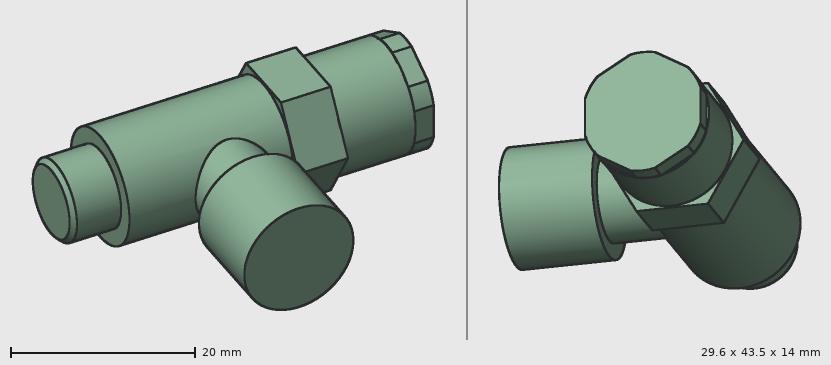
import cadquery as cq
import math

total_length = 43.5

body_diameter = 13.6
hex_across_flats = 14.0
hex_length = 6.1
hex_to_back_end = 11.35

cap_diameter = 13.75
cap_across_flats = 13.05
cap_length = 2.4

tip_diameter = 9.75
tip_end_diameter = 8.55
tip_length = 6.0
tip_chamfer = (tip_diameter - tip_end_diameter) / 2

branch_diameter = 9.8
branch_to_back_end = 24.5
branch_end_x = 21.5
socket_diameter = 13.4
socket_length = 10.53

body_front_y = tip_length
cap_front_y = total_length - cap_length
hex_front_y = total_length - hex_to_back_end - hex_length
branch_y = total_length - branch_to_back_end


def axial_plane(y):
    """Plane across the main axis at y, facing +Y, with local x along -X."""
    return cq.Workplane(cq.Plane(origin=(0, y, 0), xDir=(-1, 0, 0), normal=(0, 1, 0)))


def axial_cylinder(diameter, y, length):
    return axial_plane(y).circle(diameter / 2).extrude(length)


def axial_hexagon(across_flats, y, length, turn=0):
    """Hexagonal prism with corners on the X axis before turning about Y."""
    across_corners = across_flats / math.cos(math.radians(30))
    prism = axial_plane(y).polygon(6, across_corners).extrude(length)
    return prism.rotate((0, 0, 0), (0, 1, 0), turn)


def make_cap():
    disc = axial_cylinder(cap_diameter, cap_front_y, cap_length)
    flats = axial_hexagon(cap_across_flats, cap_front_y, cap_length, turn=30)
    return disc.intersect(flats)


def make_tip():
    tip = axial_cylinder(tip_diameter, 0, tip_length)
    return tip.faces("<Y").chamfer(tip_chamfer)


def make_branch():
    axis_plane = cq.Workplane("YZ", origin=(0, branch_y, 0))
    neck = axis_plane.circle(branch_diameter / 2).extrude(branch_end_x)
    socket_start = axis_plane.workplane(offset=branch_end_x - socket_length)
    socket = socket_start.circle(socket_diameter / 2).extrude(socket_length)
    return neck.union(socket)


body = axial_cylinder(body_diameter, body_front_y, cap_front_y - body_front_y)
hex_collar = axial_hexagon(hex_across_flats, hex_front_y, hex_length)

result = body.union(hex_collar).union(make_cap()).union(make_tip()).union(make_branch())